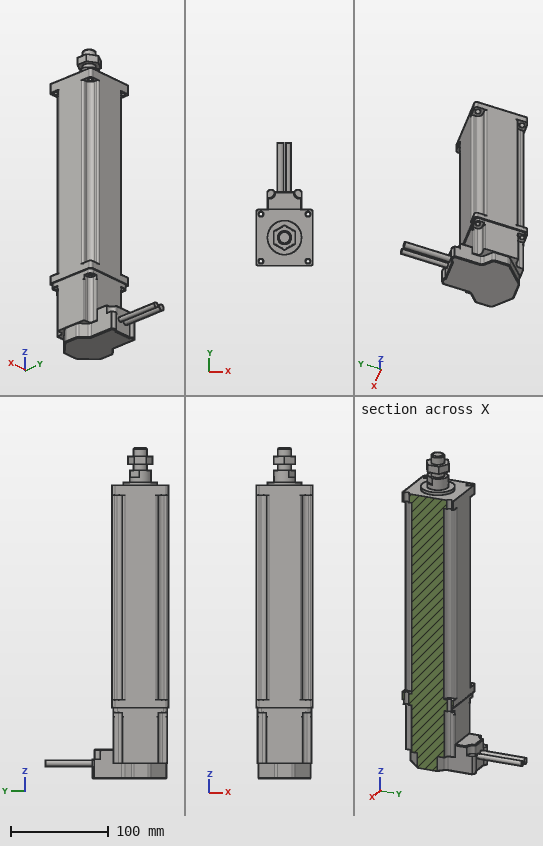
import cadquery as cq
import math

TOTAL_HEIGHT = 339.5
NUT_TOP = 330.7
NUT_BOTTOM = 322.5
COLLAR_TOP = 316.5
COLLAR_FLAT_BOTTOM = 309.3
PILOT_TOP = 304.2
HEAD_TOP = 301.0
TUBE_TOP = 291.0
TUBE_BOTTOM = 81.0
BASE_BOTTOM = 73.0
ADAPTER_BOTTOM = 68.0
MOTOR_EDGE_TOP = 63.5
CAP_TOP = 16.3

ROD_DIAMETER = 14.0
ROD_CHAMFER = 1.5
COLLAR_DIAMETER = 22.0
COLLAR_FLAT_WIDTH = 19.0
COLLAR_FLAT_ANGLE = -36.5
PILOT_DIAMETER = 35.0
NUT_ACROSS_FLATS = 22.0
HEX_HALF_ANGLE = 30

FLANGE_WIDTH = 58.0
FLANGE_FILLET = 2.7
SCREW_OFFSET = 24.0
HEAD_HOLE_DIAMETER = 5.5
BASE_HOLE_DIAMETER = 4.5
TUBE_GROOVE_RADIUS = 5.8
TUBE_EDGE_FILLET = 2.5

MOTOR_WIDTH = 55.7
ADAPTER_FILLET = 4.0
MOTOR_SCREW_OFFSET = 22.7
MOTOR_GROOVE_RADIUS = 4.0
MOTOR_EDGE_FILLET = 1.0

CAP_WIDTH = 54.0
CAP_FRONT = -CAP_WIDTH / 2
CAP_BACK = 25.8
CAP_CORNER_CUT = 17.5
CAP_FILLET = 4.0
CAP_EDGE = 1.0

CONNECTOR_WIDTH = 35.5
CONNECTOR_BACK = 47.2
CONNECTOR_TOP = 30.2
CONNECTOR_ROOT_FILLET = 5.0
CONNECTOR_CORNER_FILLET = 1.0
EAR_TOP = 20.5
EAR_RADIUS = 4.0
EAR_X = CONNECTOR_WIDTH / 2 - EAR_RADIUS
EAR_Y = 45.0
EAR_CLEARANCE_RADIUS = 5.8
EAR_CLEARANCE_X = 16.0
EAR_CLEARANCE_Y = 46.5

OVERALL_DEPTH = 126.3
CABLE_END = OVERALL_DEPTH - FLANGE_WIDTH / 2
CABLE_Z = 16.0
CABLE_X = 4.0
POWER_CABLE_DIAMETER = 6.8
SIGNAL_CABLE_DIAMETER = 5.5


def square_bar(width, bottom, top):
    """Square bar centred on the Z axis between two heights."""
    return cq.Workplane("XY", origin=(0, 0, bottom)).rect(width, width).extrude(top - bottom)


def cylinder(diameter, bottom, top, x=0, y=0):
    """Upright cylinder between two heights."""
    return cq.Workplane("XY", origin=(x, y, bottom)).circle(diameter / 2).extrude(top - bottom)


def corner_points(offset):
    """The four points at +-offset in X and Y."""
    return [(x, y) for x in (-offset, offset) for y in (-offset, offset)]


def flange(width, fillet, bottom, top, hole_diameter):
    """Square plate with rounded corners and four through holes for the screws."""
    holes = (
        cq.Workplane("XY", origin=(0, 0, bottom))
        .pushPoints(corner_points(SCREW_OFFSET))
        .circle(hole_diameter / 2)
        .extrude(top - bottom)
    )
    return square_bar(width, bottom, top).edges("|Z").fillet(fillet).cut(holes)


def grooved_bar(width, screw_offset, groove_radius, bottom, top):
    """Square bar whose four corners are cut away by round-bottomed screw channels."""
    channel_start = screw_offset - groove_radius
    channel_width = width / 2 - channel_start
    channel = (
        cq.Workplane("XY", origin=(channel_start, channel_start, bottom))
        .rect(channel_width, channel_width, centered=False)
        .extrude(top - bottom)
        .edges("|Z").edges("<XY").fillet(groove_radius)
    )
    bar = square_bar(width, bottom, top)
    for quarter in range(4):
        bar = bar.cut(channel.rotate((0, 0, 0), (0, 0, 1), 90 * quarter))
    return bar


def round_outer_edges(bar, radius):
    """Round the upright edges where the screw channels meet the outer sides."""
    return bar.edges("|Z and (>X or <X or >Y or <Y)").fillet(radius)


def make_rod():
    """Pilot disc, collar with two wrench flats, and the threaded rod end."""
    pilot = cylinder(PILOT_DIAMETER, HEAD_TOP, PILOT_TOP)
    collar = cylinder(COLLAR_DIAMETER, PILOT_TOP, COLLAR_TOP)
    flat_zone = cylinder(COLLAR_DIAMETER, COLLAR_FLAT_BOTTOM, COLLAR_TOP)
    between_flats = (
        cq.Workplane("XY", origin=(0, 0, COLLAR_FLAT_BOTTOM))
        .rect(COLLAR_FLAT_WIDTH, 2 * COLLAR_DIAMETER)
        .extrude(COLLAR_TOP - COLLAR_FLAT_BOTTOM)
        .rotate((0, 0, 0), (0, 0, 1), COLLAR_FLAT_ANGLE)
    )
    collar = collar.cut(flat_zone.cut(between_flats))
    rod = cylinder(ROD_DIAMETER, COLLAR_TOP, TOTAL_HEIGHT).faces(">Z").chamfer(ROD_CHAMFER)
    return pilot.union(collar).union(rod)


def make_tube():
    """Head flange, grooved tube and base flange of the actuator."""
    head = flange(FLANGE_WIDTH, FLANGE_FILLET, TUBE_TOP, HEAD_TOP, HEAD_HOLE_DIAMETER)
    tube = grooved_bar(FLANGE_WIDTH, SCREW_OFFSET, TUBE_GROOVE_RADIUS, TUBE_BOTTOM, TUBE_TOP)
    tube = round_outer_edges(tube, TUBE_EDGE_FILLET)
    base = flange(FLANGE_WIDTH, FLANGE_FILLET, BASE_BOTTOM, TUBE_BOTTOM, BASE_HOLE_DIAMETER)
    return head.union(tube).union(base)


def make_motor():
    """Adapter plate and grooved motor; the groove edges are sharp only at the top."""
    adapter = flange(MOTOR_WIDTH, ADAPTER_FILLET, ADAPTER_BOTTOM, BASE_BOTTOM, BASE_HOLE_DIAMETER)
    sharp_part = grooved_bar(
        MOTOR_WIDTH, MOTOR_SCREW_OFFSET, MOTOR_GROOVE_RADIUS, MOTOR_EDGE_TOP, ADAPTER_BOTTOM
    )
    rounded_part = grooved_bar(
        MOTOR_WIDTH, MOTOR_SCREW_OFFSET, MOTOR_GROOVE_RADIUS, CAP_TOP, MOTOR_EDGE_TOP
    )
    rounded_part = round_outer_edges(rounded_part, MOTOR_EDGE_FILLET)
    return adapter.union(sharp_part).union(rounded_part)


def connector_bar(front, bottom, top):
    """Part of the connector block from a front Y position to its back face."""
    return (
        cq.Workplane("XY", origin=(0, (front + CONNECTOR_BACK) / 2, bottom))
        .rect(CONNECTOR_WIDTH, CONNECTOR_BACK - front)
        .extrude(top - bottom)
    )


def make_cap():
    """Eight-sided end cap joined to the lower part of the connector and its screw ears."""
    cap = (
        cq.Workplane("XY", origin=(0, (CAP_BACK + CAP_FRONT) / 2, 0))
        .rect(CAP_WIDTH, CAP_BACK - CAP_FRONT)
        .extrude(CAP_TOP)
        .edges("|Z").chamfer(CAP_CORNER_CUT)
        .edges("|Z").fillet(CAP_FILLET)
        .union(connector_bar(0, 0, CAP_TOP))
    )
    side = CONNECTOR_WIDTH / 2
    bevel_end = CAP_BACK - CAP_CORNER_CUT + CAP_WIDTH / 2 - side
    for x in (-side, side):
        root_edge = cq.NearestToPointSelector((x, bevel_end, CAP_TOP / 2))
        cap = cap.edges("|Z").edges(root_edge).fillet(CONNECTOR_ROOT_FILLET)
    for x in (-EAR_X, EAR_X):
        cap = cap.union(cylinder(2 * EAR_RADIUS, 0, CAP_TOP, x, EAR_Y))
    return cap.faces("<Z").chamfer(CAP_EDGE)


def make_connector():
    """Upper part of the connector, cut back above its two screw ears."""
    motor_back = MOTOR_WIDTH / 2
    lower = connector_bar(motor_back, CAP_TOP, EAR_TOP)
    upper = connector_bar(motor_back, EAR_TOP, CONNECTOR_TOP)
    for side in (-1, 1):
        ear = cylinder(2 * EAR_RADIUS, CAP_TOP, EAR_TOP, side * EAR_X, EAR_Y)
        clearance = cylinder(
            2 * EAR_CLEARANCE_RADIUS, EAR_TOP, CONNECTOR_TOP, side * EAR_CLEARANCE_X, EAR_CLEARANCE_Y
        )
        lower = lower.union(ear)
        upper = upper.cut(clearance)
    upper = upper.edges("|Z and >Y").fillet(CONNECTOR_CORNER_FILLET)
    upper = upper.faces(">Z").edges("not <Y").chamfer(CAP_EDGE)
    return lower.union(upper)


def cable(diameter, x):
    """Straight cable leaving the back of the connector."""
    return (
        cq.Workplane("XZ", origin=(x, CONNECTOR_BACK, CABLE_Z))
        .circle(diameter / 2)
        .extrude(CONNECTOR_BACK - CABLE_END)
    )


def make_actuator():
    """Complete actuator: rod end, tube, motor, end cap, connector and cables."""
    return (
        make_motor()
        .union(make_tube())
        .union(make_rod())
        .union(make_cap())
        .union(make_connector())
        .union(cable(POWER_CABLE_DIAMETER, -CABLE_X))
        .union(cable(SIGNAL_CABLE_DIAMETER, CABLE_X))
    )


def make_nut():
    """Hexagon nut on the rod, with two of its flats facing along X."""
    across_corners = NUT_ACROSS_FLATS / math.cos(math.radians(HEX_HALF_ANGLE))
    return (
        cq.Workplane("XY", origin=(0, 0, NUT_BOTTOM))
        .polygon(6, across_corners)
        .extrude(NUT_TOP - NUT_BOTTOM)
        .rotate((0, 0, 0), (0, 0, 1), HEX_HALF_ANGLE)
        .cut(cylinder(ROD_DIAMETER, NUT_BOTTOM, NUT_TOP))
    )


actuator = make_actuator()
nut = make_nut()
result = cq.Compound.makeCompound([actuator.solids().val(), nut.solids().val()])